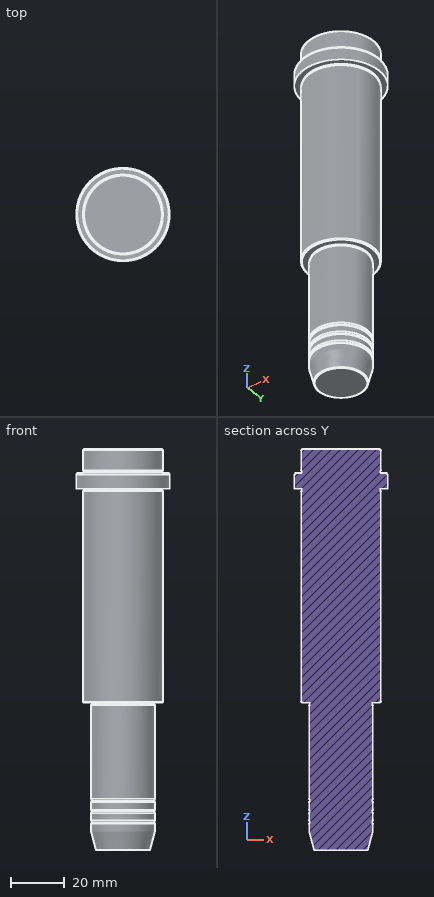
import cadquery as cq
import math

length = 150.0
body_radius = 15.0
pin_radius = 12.0
flange_radius = 52.5 / 3

flange_top = 141.0
flange_bottom = 135.0
body_bottom = 55.0

top_chamfer = 0.52
flange_chamfer_height = 0.8
flange_chamfer_inset = 0.5
body_chamfer = 0.5
tip_chamfer = 0.3

taper_height = 7.0
taper_angle = 15.0
tip_radius = pin_radius - taper_height * math.tan(math.radians(taper_angle))

relief_width = 0.6
relief_depth = 0.3
relief_slope = 0.3

oil_groove_count = 3
oil_groove_pitch = 4.0
oil_groove_width = 1.4
oil_groove_depth = 0.3
lowest_oil_groove = 10.5


def cylinder(radius, bottom, top):
    return cq.Workplane("XY").workplane(offset=bottom).circle(radius).extrude(top - bottom)


def cut_ring(shape, profile):
    """Cut a ring whose section is a closed list of (radius, height) points."""
    ring = cq.Workplane("XZ").polyline(profile).close().revolve(360, (0, 0, 0), (0, 1, 0))
    return shape.cut(ring)


def cut_relief(shape, radius, shoulder, direction):
    """Cut a relief from a shoulder, up (+1) or down (-1), ending in a sloped run-out."""
    floor_radius = radius - relief_depth
    slope_start = shoulder + direction * (relief_width - relief_slope)
    end = shoulder + direction * relief_width
    profile = [(floor_radius, shoulder), (floor_radius, slope_start), (radius, end), (radius, shoulder)]
    return cut_ring(shape, profile)


def cut_oil_groove(shape, middle):
    """Cut a V-shaped ring groove into the pin."""
    half_width = oil_groove_width / 2
    profile = [
        (pin_radius, middle - half_width),
        (pin_radius - oil_groove_depth, middle),
        (pin_radius, middle + half_width),
    ]
    return cut_ring(shape, profile)


head = cylinder(body_radius, flange_top, length).faces(">Z").chamfer(top_chamfer)
head = cut_relief(head, body_radius, flange_top, 1.5)

flange = cylinder(flange_radius, flange_bottom, flange_top)
flange = cut_ring(
    flange,
    [
        (flange_radius, flange_top),
        (flange_radius - flange_chamfer_inset, flange_top),
        (flange_radius, flange_top - flange_chamfer_height),
    ],
)

body = cylinder(body_radius, body_bottom, flange_bottom).faces("<Z").chamfer(body_chamfer)
body = cut_relief(body, body_radius, flange_bottom, -1.5)

pin = cylinder(pin_radius, taper_height, body_bottom)
pin = cut_relief(pin, pin_radius, body_bottom, -1.5)
for index in range(oil_groove_count):
    pin = cut_oil_groove(pin, lowest_oil_groove + index * oil_groove_pitch)

tip = cq.Workplane(cq.Solid.makeCone(tip_radius, pin_radius, taper_height))
tip = tip.faces("<Z").chamfer(tip_chamfer)

result = head.union(flange).union(body).union(pin).union(tip)